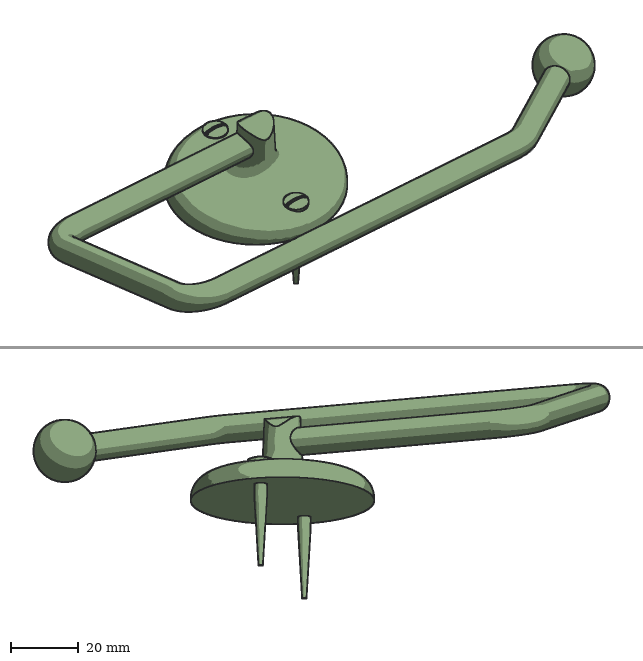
import cadquery as cq
import math

FLANGE_RADIUS = 27.1
FLANGE_HEIGHT = 7.0
FLANGE_RIM_HEIGHT = 0.7
FLANGE_TOP_RADIUS = 21.0
FLARE_RADIUS = 13.0
NECK_RADIUS = 5.8
NECK_HEIGHT = 13.9
POST_TOP_RADIUS = 5.3
POST_HEIGHT = 25.2
POST_CROWN_RADIUS = 5.8

SCREW_OFFSET = 19.9
HEAD_RADIUS = 3.8
HEAD_SEAT_HEIGHT = 5.1
HEAD_RIM_HEIGHT = 7.4
HEAD_TOP_HEIGHT = 8.2
SLOT_WIDTH = 0.9
SLOT_DEPTH = 0.9
SHANK_RADIUS = 1.9
SHANK_END = -4.0
TIP_RADIUS = 0.7
TIP_END = -24.7

ROD_RADIUS = 4.1
ARM_HEIGHT = 17.7
ARM_TILT = 20
ARM_WIDTH = 75.8
ARM_FRONT = -76.0
BEND_RADIUS = 10.0
END_ANGLE = 40

BALL_RADIUS = 9.3
BALL_Y = 82.1

END_BEND_SETBACK = BEND_RADIUS * math.tan(math.radians(END_ANGLE / 2))
BALL_ACROSS = 44.5
END_CORNER_Y = BALL_Y - (ARM_WIDTH - BALL_ACROSS) / math.tan(math.radians(END_ANGLE))

arm_plane = cq.Plane(
    origin=(0, 0, ARM_HEIGHT),
    xDir=(math.cos(math.radians(ARM_TILT)), 0, math.sin(math.radians(ARM_TILT))),
    normal=(-math.sin(math.radians(ARM_TILT)), 0, math.cos(math.radians(ARM_TILT))),
)


def point_on_arc(center, radius, angle):
    """Point on a circle at an angle in degrees."""
    turn = math.radians(angle)
    return (center[0] + radius * math.cos(turn), center[1] + radius * math.sin(turn))


def make_screw(x):
    profile = (
        cq.Workplane("XZ")
        .moveTo(0, TIP_END)
        .lineTo(TIP_RADIUS, TIP_END)
        .lineTo(SHANK_RADIUS, SHANK_END)
        .lineTo(SHANK_RADIUS, HEAD_SEAT_HEIGHT)
        .lineTo(HEAD_RADIUS, HEAD_SEAT_HEIGHT)
        .lineTo(HEAD_RADIUS, HEAD_RIM_HEIGHT)
    )
    dome_rise = HEAD_TOP_HEIGHT - HEAD_RIM_HEIGHT
    dome_radius = (HEAD_RADIUS**2 + dome_rise**2) / (2 * dome_rise)
    screw = profile.radiusArc((0, HEAD_TOP_HEIGHT), -dome_radius).close().revolve(360, (0, 0), (0, 1))
    slot = cq.Workplane("XY", origin=(0, 0, HEAD_TOP_HEIGHT - SLOT_DEPTH)).box(
        SLOT_WIDTH, 2 * HEAD_RADIUS, SLOT_DEPTH, centered=(True, True, False)
    )
    return screw.cut(slot).translate((x, 0, 0))


def make_screw_hole(x):
    """Through hole and counterbore that fit one screw."""
    shank_hole = cq.Workplane("XY").circle(SHANK_RADIUS).extrude(FLANGE_HEIGHT)
    head_recess = (
        cq.Workplane("XY", origin=(0, 0, HEAD_SEAT_HEIGHT))
        .circle(HEAD_RADIUS)
        .extrude(FLANGE_HEIGHT - HEAD_SEAT_HEIGHT)
    )
    return shank_hole.union(head_recess).translate((x, 0, 0))


def make_flange():
    edge_center = (FLANGE_TOP_RADIUS, FLANGE_RIM_HEIGHT)
    edge_middle = (
        edge_center[0] + (FLANGE_RADIUS - FLANGE_TOP_RADIUS) * math.sqrt(0.5),
        edge_center[1] + (FLANGE_HEIGHT - FLANGE_RIM_HEIGHT) * math.sqrt(0.5),
    )
    flare_middle = (
        FLARE_RADIUS - (FLARE_RADIUS - NECK_RADIUS) * math.sqrt(0.5),
        NECK_HEIGHT - (NECK_HEIGHT - FLANGE_HEIGHT) * math.sqrt(0.5),
    )
    flange = (
        cq.Workplane("XZ")
        .lineTo(FLANGE_RADIUS, 0)
        .lineTo(FLANGE_RADIUS, FLANGE_RIM_HEIGHT)
        .threePointArc(edge_middle, (FLANGE_TOP_RADIUS, FLANGE_HEIGHT))
        .lineTo(FLARE_RADIUS, FLANGE_HEIGHT)
        .threePointArc(flare_middle, (NECK_RADIUS, NECK_HEIGHT))
        .lineTo(POST_TOP_RADIUS, POST_HEIGHT)
        .lineTo(0, POST_HEIGHT)
        .close()
        .revolve(360, (0, 0), (0, 1))
    )
    crown_base = POST_HEIGHT - POST_CROWN_RADIUS
    above_crown = (
        cq.Workplane("XZ", origin=(0, 0, crown_base))
        .moveTo(-POST_CROWN_RADIUS, 0)
        .threePointArc((0, POST_CROWN_RADIUS), (POST_CROWN_RADIUS, 0))
        .lineTo(POST_CROWN_RADIUS, 2 * POST_CROWN_RADIUS)
        .lineTo(-POST_CROWN_RADIUS, 2 * POST_CROWN_RADIUS)
        .close()
        .extrude(2 * POST_TOP_RADIUS, both=True)
    )
    flange = flange.cut(above_crown)
    for x in (-SCREW_OFFSET, SCREW_OFFSET):
        flange = flange.cut(make_screw_hole(x))
    return flange


def make_ball():
    return cq.Workplane(arm_plane).center(BALL_ACROSS, BALL_Y).sphere(BALL_RADIUS)


def make_arm(flange, ball):
    """Bent rod trimmed where it meets the post and the ball."""
    bend_y = ARM_FRONT + BEND_RADIUS
    far_bend_x = ARM_WIDTH - BEND_RADIUS
    end_bend_center = (far_bend_x, END_CORNER_Y - END_BEND_SETBACK)
    path = (
        cq.Workplane(arm_plane)
        .lineTo(0, bend_y)
        .threePointArc(point_on_arc((BEND_RADIUS, bend_y), BEND_RADIUS, 225), (BEND_RADIUS, ARM_FRONT))
        .lineTo(far_bend_x, ARM_FRONT)
        .threePointArc(point_on_arc((far_bend_x, bend_y), BEND_RADIUS, 315), (ARM_WIDTH, bend_y))
        .lineTo(ARM_WIDTH, end_bend_center[1])
        .threePointArc(
            point_on_arc(end_bend_center, BEND_RADIUS, END_ANGLE / 2),
            point_on_arc(end_bend_center, BEND_RADIUS, END_ANGLE),
        )
        .lineTo(BALL_ACROSS, BALL_Y)
    )
    rod = cq.Workplane("XZ", origin=(0, 0, ARM_HEIGHT)).circle(ROD_RADIUS).sweep(path)
    return rod.cut(flange).cut(ball)


flange = make_flange()
ball = make_ball()
arm = make_arm(flange, ball)
screws = [make_screw(x) for x in (-SCREW_OFFSET, SCREW_OFFSET)]

result = cq.Compound.makeCompound(
    [
        flange.solids().val(),
        arm.solids().val(),
        ball.solids().val(),
        *[screw.solids().val() for screw in screws],
    ]
)